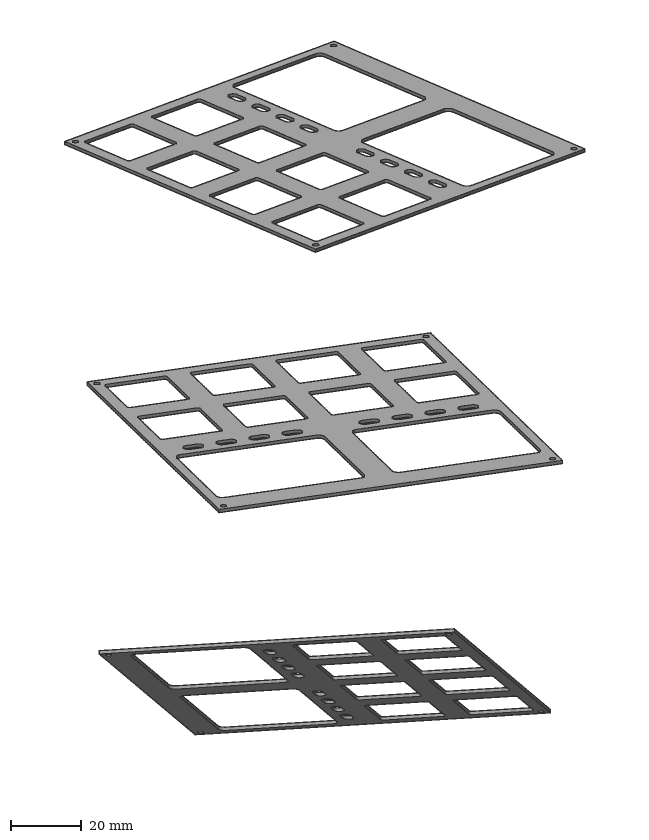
import cadquery as cq

panel_side = 104.4
panel_thickness = 1.0

mount_hole_diameter = 1.8
mount_hole_spacing = 100.0

display_width = 45.0
display_height = 35.0
display_corner_radius = 2.0
display_spacing = 53.4
display_y = 26.6

slot_length = 6.1
slot_width = 3.0
slot_pitch = 10.0
slots_per_display = 4
slot_y = 4.8

key_side = 18.9
key_corner_radius = 0.7
key_pitch = 26.0
key_columns = 4
key_rows = 2
key_rows_y = -key_pitch

display_centres = [(-display_spacing / 2, display_y), (display_spacing / 2, display_y)]


def through_window(width, height, corner_radius):
    """Cutter for one rounded rectangular window through the panel."""
    return cq.Workplane("XY").rect(width, height).extrude(panel_thickness).edges("|Z").fillet(corner_radius)


def cut_windows(body, window, centres):
    """Cut a copy of the window at each of the given XY centres."""
    for x, y in centres:
        body = body.cut(window.translate((x, y, 0)))
    return body


def cut_mount_holes(body):
    return (
        body.faces(">Z").workplane(origin=(0, 0, 0))
        .rect(mount_hole_spacing, mount_hole_spacing, forConstruction=True)
        .vertices()
        .hole(mount_hole_diameter)
    )


def cut_displays(body):
    window = through_window(display_width, display_height, display_corner_radius)
    return cut_windows(body, window, display_centres)


def cut_slots(body):
    for display_x, _ in display_centres:
        body = (
            body.faces(">Z").workplane(origin=(display_x, slot_y, 0))
            .rarray(slot_pitch, 1, slots_per_display, 1)
            .slot2D(slot_length, slot_width)
            .cutThruAll()
        )
    return body


def cut_keys(body):
    window = through_window(key_side, key_side, key_corner_radius)
    centres = [
        ((column - (key_columns - 1) / 2) * key_pitch, key_rows_y + (row - (key_rows - 1) / 2) * key_pitch)
        for column in range(key_columns)
        for row in range(key_rows)
    ]
    return cut_windows(body, window, centres)


panel = cq.Workplane("XY").rect(panel_side, panel_side).extrude(panel_thickness)
panel = cut_mount_holes(panel)
panel = cut_displays(panel)
panel = cut_slots(panel)
panel = cut_keys(panel)

result = panel